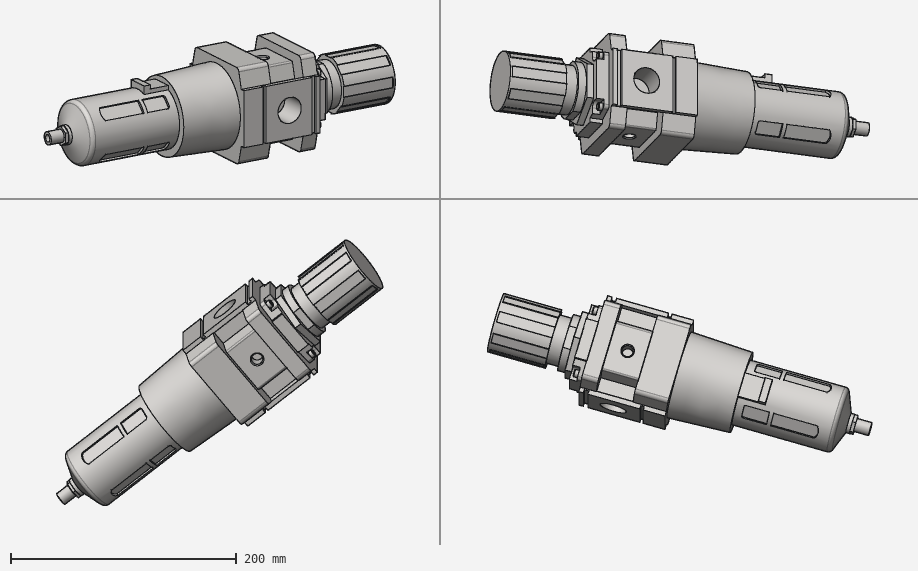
import cadquery as cq
import math

total_length = 346.0

knob_diameter = 54.0
knob_end = 53.3
knob_rim = 2.0
knob_grooves = 8
knob_groove_width = 10.0
knob_groove_floor = 25.5
neck_diameter = 44.5
neck_end = 64.7
ring_diameter = 52.0
ring_across_flats = 47.7
ring_end = 72.0
nut_across_flats = 55.5
nut_end = 78.2

bonnet_size = 70.5
bonnet_rib_width = 36.7
bonnet_shoulder = 31.5
bonnet_corner_height = 26.3
bonnet_corner_radius = 3.8
bonnet_end = 90.0
screw_x = 29.8
screw_z = 24.2
screw_diameter = 7.0
screw_chamfer = 0.7
screw_height = 4.0
screw_pocket_radius = 5.2
screw_pocket_depth = 7.0

body_width = 91.0
body_height = 90.0
body_end = 169.5
upper_flange_end = 105.0
lower_flange_start = 138.7
side_plate_height = 53.3
shoulder_width = 82.5
side_slope = 15.0
flange_corner_radius = 4.0
block_top_width = 45.3
block_height = 73.5
block_corner_radius = 1.7
channel_floor = 21.5
channel_outer_width = 81.5
notch_depth = 3.0
notches = [(94.0, 98.3), (146.5, 149.5)]

port_station = 121.8
side_port_diameter = 24.2
side_port_depth = 27.7
gauge_port_diameter = 10.0
gauge_port_mouth = 12.0
gauge_port_depth = 14.0

guard_start_diameter = 79.2
guard_end_diameter = 74.0
guard_end = 227.0
bowl_diameter = 60.0
bowl_end = 317.5
bowl_edge_radius = 4.5
collar_diameter = 18.0
collar_start = 326.0
collar_end = 329.5
drain_nut_across_flats = 16.0
drain_nut_end = 332.5
drain_diameter = 12.0
drain_hole_diameter = 7.0
drain_hole_depth = 10.5

button_width = 22.0
button_top = 32.0
button_lip_top = 35.5
button_lip_start = 245.5
button_end = 252.2

window_width = 13.5
window_floor = 27.5
window_corner_radius = 2.0
short_window = (234.2, 257.5)
long_window = (261.2, 301.5)
window_arc_rise = 2.5
window_angles = [45, 135, 225, 315]


def section(station):
    """Workplane across the axis, extruding toward -Y."""
    return cq.Workplane("XZ").workplane(offset=station)


def disc(diameter, start, end):
    return section(start).circle(diameter / 2).extrude(end - start)


def bar(width, height, start, end):
    return section(start).rect(width, height).extrude(end - start)


def hexagon(across_flats, start, end):
    """Hexagonal prism with two corners on the Z axis."""
    corners = across_flats / math.cos(math.radians(30))
    prism = section(start).polygon(6, corners).extrude(end - start)
    return prism.rotate((0, 0, 0), (0, 1, 0), 90)


def sloped_drop(height):
    """Sideways run of a sloped side over a height."""
    return height * math.tan(math.radians(side_slope))


def make_knob():
    knob = disc(knob_diameter, 0, knob_end)
    groove_depth = knob_diameter / 2 - knob_groove_floor
    groove_cutter = (
        section(knob_rim)
        .center(0, knob_groove_floor + groove_depth)
        .rect(knob_groove_width, 2 * groove_depth)
        .extrude(knob_end - knob_rim)
    )
    for index in range(knob_grooves):
        angle = index * 360 / knob_grooves
        knob = knob.cut(groove_cutter.rotate((0, 0, 0), (0, 1, 0), angle))
    return knob


def make_neck():
    neck = disc(neck_diameter, knob_end, neck_end)
    ring_flats = bar(ring_diameter, ring_across_flats, neck_end, ring_end)
    ring = disc(ring_diameter, neck_end, ring_end).intersect(ring_flats)
    nut = hexagon(nut_across_flats, ring_end, nut_end)
    return neck.union(ring).union(nut)


def four_corners(shape):
    """Copies of a shape mirrored in X and in Z."""
    pair = [shape, shape.mirror("YZ")]
    return pair + [copy.mirror("XY") for copy in pair]


def make_screw_pocket():
    """Cutter for the +X +Z corner, rounded around the screw and open to the outside."""
    inner_x = screw_x - screw_pocket_radius
    inner_z = screw_z - screw_pocket_radius
    reach = bonnet_size / 2
    pocket = (
        section(nut_end)
        .center(inner_x + reach / 2, inner_z + reach / 2)
        .rect(reach, reach)
        .extrude(screw_pocket_depth)
    )
    inner_edge = cq.selectors.NearestToPointSelector((inner_x, -nut_end, inner_z))
    return pocket.edges("|Y").edges(inner_edge).fillet(screw_pocket_radius)


def make_screw():
    """Screw head standing on the pocket floor in the +X +Z corner."""
    return (
        section(nut_end + screw_pocket_depth - screw_height)
        .center(screw_x, screw_z)
        .circle(screw_diameter / 2)
        .extrude(screw_height)
        .faces(">Y")
        .chamfer(screw_chamfer)
    )


def make_bonnet():
    side = bonnet_size / 2
    rib_x = bonnet_rib_width / 2
    outline = [
        (rib_x, bonnet_shoulder), (side, bonnet_corner_height),
        (side, -bonnet_corner_height), (rib_x, -bonnet_shoulder),
        (-rib_x, -bonnet_shoulder), (-side, -bonnet_corner_height),
        (-side, bonnet_corner_height), (-rib_x, bonnet_shoulder),
    ]
    bonnet = section(nut_end).polyline(outline).close().extrude(bonnet_end - nut_end)
    bonnet = bonnet.edges("|Y").edges("<X or >X").fillet(bonnet_corner_radius)
    bonnet = bonnet.union(bar(bonnet_rib_width, bonnet_size, nut_end, bonnet_end))

    pocket = make_screw_pocket()
    screw = make_screw()
    for mirrored_pocket in four_corners(pocket):
        bonnet = bonnet.cut(mirrored_pocket)
    for mirrored_screw in four_corners(screw):
        bonnet = bonnet.union(mirrored_screw)
    return bonnet


def make_flange(start, end):
    """Flange with sides that slope inward above and below the side plates."""
    top_z = body_height / 2
    plate_z = side_plate_height / 2
    shoulder_x = shoulder_width / 2
    top_x = shoulder_x - sloped_drop(top_z - plate_z)
    outline = [
        (top_x, top_z), (shoulder_x, plate_z), (shoulder_x, -plate_z), (top_x, -top_z),
        (-top_x, -top_z), (-shoulder_x, -plate_z), (-shoulder_x, plate_z), (-top_x, top_z),
    ]
    flange = section(start).polyline(outline).close().extrude(end - start)
    return flange.edges("|Y").edges("<Z or >Z").fillet(flange_corner_radius)


def make_center_block():
    """Block between the flanges that carries the gauge ports."""
    top_z = block_height / 2
    top_x = block_top_width / 2
    floor_x = top_x + sloped_drop(top_z - channel_floor)
    outline = [
        (top_x, top_z), (floor_x, channel_floor), (floor_x, -channel_floor), (top_x, -top_z),
        (-top_x, -top_z), (-floor_x, -channel_floor), (-floor_x, channel_floor), (-top_x, top_z),
    ]
    length = lower_flange_start - upper_flange_end
    block = section(upper_flange_end).polyline(outline).close().extrude(length)
    return block.edges("|Y").edges("<Z or >Z").fillet(block_corner_radius)


def make_channel():
    """Cutter for the space above the channel floor, between the side plates."""
    plate_z = side_plate_height / 2
    rim_x = channel_outer_width / 2
    floor_x = rim_x - sloped_drop(plate_z - channel_floor)
    outline = [(-rim_x, plate_z), (-floor_x, channel_floor), (floor_x, channel_floor), (rim_x, plate_z)]
    length = lower_flange_start - upper_flange_end
    return section(upper_flange_end).polyline(outline).close().extrude(length)


def make_body():
    body = bar(body_width, side_plate_height, bonnet_end, body_end)
    channel = make_channel()
    body = body.cut(channel).cut(channel.mirror("XY"))
    body = body.union(make_center_block())
    body = body.union(make_flange(bonnet_end, upper_flange_end))
    body = body.union(make_flange(lower_flange_start, body_end))

    for start, end in notches:
        kept_core = bar(body_width - 2 * notch_depth, body_height, start, end)
        body = body.cut(bar(body_width, side_plate_height, start, end).cut(kept_core))

    side_port = (
        cq.Workplane("YZ", origin=(-body_width / 2, -port_station, 0))
        .circle(side_port_diameter / 2)
        .extrude(side_port_depth)
    )
    gauge_port_chamfer = (gauge_port_mouth - gauge_port_diameter) / 2
    gauge_port = (
        cq.Workplane("XY", origin=(0, -port_station, block_height / 2))
        .circle(gauge_port_diameter / 2)
        .extrude(-gauge_port_depth)
    )
    gauge_mouth = (
        cq.Workplane("XY", origin=(0, -port_station, block_height / 2))
        .circle(gauge_port_mouth / 2)
        .extrude(-gauge_port_chamfer, taper=45)
    )
    gauge_port = gauge_port.union(gauge_mouth)
    body = body.cut(side_port).cut(side_port.mirror("YZ"))
    return body.cut(gauge_port).cut(gauge_port.mirror("XY"))


def make_bowl():
    """Tapered guard, bowl with a rounded edge, conical end and collar, turned about Y."""
    bowl_radius = bowl_diameter / 2
    collar_radius = collar_diameter / 2
    bowl = (
        cq.Workplane("XY")
        .moveTo(0, -body_end)
        .lineTo(guard_start_diameter / 2, -body_end)
        .lineTo(guard_end_diameter / 2, -guard_end)
        .lineTo(bowl_radius, -guard_end)
        .lineTo(bowl_radius, -bowl_end)
        .lineTo(collar_radius, -collar_start)
        .lineTo(collar_radius, -collar_end)
        .lineTo(0, -collar_end)
        .close()
        .revolve(360, (0, 0, 0), (0, 1, 0))
    )
    bowl_edge = cq.selectors.NearestToPointSelector((0, -bowl_end, 0))
    return bowl.edges("%CIRCLE").edges(bowl_edge).fillet(bowl_edge_radius)


def cut_windows(bowl):
    depth = bowl_diameter / 2 - window_floor
    half_width = window_width / 2
    floor_plane = cq.Workplane("XY").workplane(offset=window_floor)

    short_start, short_end = short_window
    short_cutter = (
        floor_plane.moveTo(0, -(short_start + short_end) / 2)
        .rect(window_width, short_end - short_start)
        .extrude(depth)
        .edges("|Z and >Y")
        .fillet(window_corner_radius)
    )
    long_start, long_end = long_window
    long_cutter = (
        floor_plane.moveTo(-half_width, -long_start)
        .lineTo(half_width, -long_start)
        .lineTo(half_width, -long_end)
        .threePointArc((0, -long_end - window_arc_rise), (-half_width, -long_end))
        .close()
        .extrude(depth)
    )
    for angle in window_angles:
        for cutter in (short_cutter, long_cutter):
            bowl = bowl.cut(cutter.rotate((0, 0, 0), (0, 1, 0), angle))
    return bowl


def make_button():
    """Release button: a flat tongue that ends in a raised lip."""
    tongue = (
        section(guard_end)
        .center(0, button_top / 2)
        .rect(button_width, button_top)
        .extrude(button_end - guard_end)
    )
    lip = (
        section(button_lip_start)
        .center(0, button_lip_top / 2)
        .rect(button_width, button_lip_top)
        .extrude(button_end - button_lip_start)
    )
    return tongue.union(lip)


def make_drain():
    nut = hexagon(drain_nut_across_flats, collar_end, drain_nut_end)
    tube = disc(drain_diameter, drain_nut_end, total_length)
    hole = disc(drain_hole_diameter, total_length - drain_hole_depth, total_length)
    tube = tube.cut(hole)
    return nut.union(tube)


result = (
    make_knob()
    .union(make_neck())
    .union(make_bonnet())
    .union(make_body())
    .union(cut_windows(make_bowl()))
    .union(make_button())
    .union(make_drain())
)